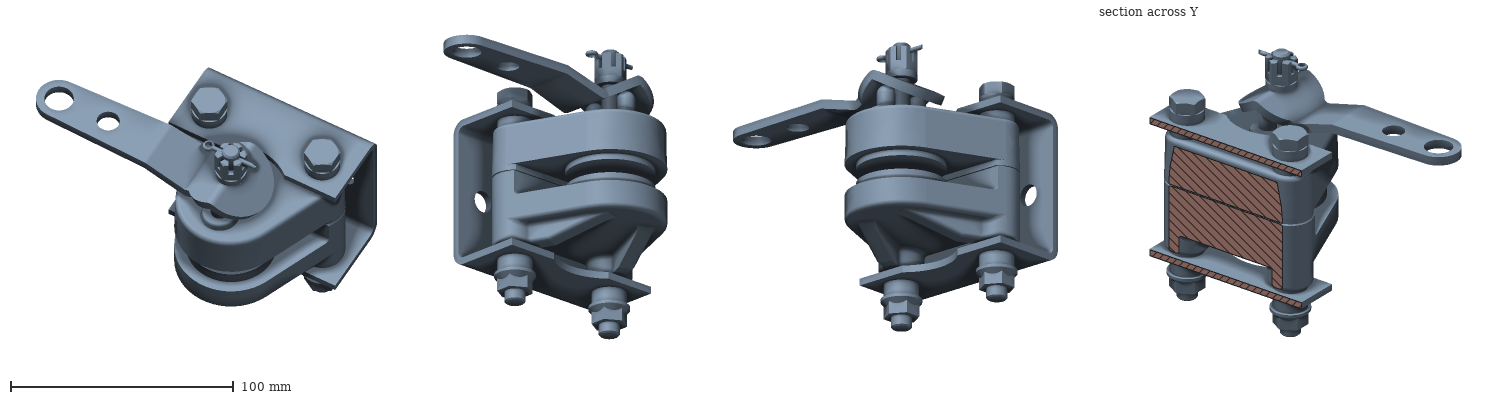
import cadquery as cq
import math


bolt_x = 29.1
bolt_y = 31.5
bolt_sides = (-1, 1)
shank_dia = 9.5
sleeve_dia = 15.9
hex_flats = 14.2
hex_chamfer = 0.5
head_bottom = 74.9
head_top = 80.7
flange_dia = 18.8
flange_top = -6.8
flange_bottom = -8.2
flange_cone_bottom = -10.8
nut_bottom = -15.5
bolt_tip = -20.6
tip_chamfer = 0.7

bracket_width = 86.0
bracket_height = 70.0
bracket_back = 57.0
bracket_front = 18.9
bracket_thickness = 3.3
bracket_bend = 6.3
bracket_relief_radius = 25.3
mount_hole_dia = 10.1
mount_hole_x = 28.0

nose_radius = 25.6
lobe_radius = 10.4
lobe_back = bolt_y + lobe_radius
boss_bottom = 5.1
jaw_bottom = 14.5
jaw_top = 27.5
throat_y = 23.7
throat_fillet = 2.0
wall_top = 39.7
wall_chamfer = 0.9
cover_bottom = 42.4
cover_top = 62.7
cover_draft = 1.5
edge_fillet = 2.1
pad_dia = 40.8
lower_pad_top = 33.3
rib_width = 7.8
rib_fillet = 1.8
root_fillet = 2.1
rib_foot_y = 13.6
rib_end_y = -12.8
rib_root_x = 30.7
rib_end_x = 11.5

pin_dia = 8.4
pin_y = 10.2
pin_height = 73.2
guide_dia = 17.3
guide_draft = 15
guide_top = 65.7
guide_fillet = 1.3
stud_dia = 8.0
stud_top = 99.5
stud_chamfer = 0.9
castle_washer_dia = 14.2
castle_washer_bottom = 82.3
castle_bottom = 85.5
castle_top = 97.0
castle_flats = 12.8
castle_slot_width = 2.3
castle_slot_bottom = 90.0
cotter_dia = 2.1
cotter_z = 95.4
cotter_eye_x = -11.5
cotter_eye_radius = 1.7
cotter_short_tip = 11.4
cotter_long_tip = 13.0

lever_thickness = 4.3
lever_handle_z = 75.0
lever_end_x = bracket_width / 2 - 142.1
lever_end_radius = 10.4
lever_bend_x = -38.1
lever_valley_x = -15.9
lever_valley_width = 25.3
ridge_angle = 30
ridge_radius = 19.3
ridge_z = pin_height + pin_dia / 2 / math.cos(math.radians(ridge_angle))
lever_end_hole = 13.2
lever_mid_hole = 10.4
lever_mid_hole_x = -63.4
lever_stud_hole = 8.4


def cylinder(diameter, z_low, z_high, x=0, y=0):
    return cq.Workplane("XY", origin=(x, y, z_low)).circle(diameter / 2).extrude(z_high - z_low)


def hexagon(flats, z_low, z_high):
    """Hexagonal prism with flats facing +X and -X and its upper corners rounded off by a cone."""
    corners = flats / math.cos(math.radians(30))
    prism = cq.Workplane("XY", origin=(0, 0, z_low)).polygon(6, corners).extrude(z_high - z_low)
    prism = prism.rotate((0, 0, 0), (0, 0, 1), 30)
    inset = (corners - flats) / 2
    return prism.intersect(cylinder(corners, z_low, z_high).faces(">Z").chamfer(hex_chamfer, inset))


def make_bracket():
    inner_bend = bracket_bend - bracket_thickness
    depth = bracket_back - bracket_front
    body = (
        cq.Workplane("XY")
        .box(bracket_width, depth, bracket_height, centered=(True, False, False))
        .edges("|X and >Y")
        .fillet(bracket_bend)
    )
    channel = (
        cq.Workplane("XY", origin=(0, 0, bracket_thickness))
        .box(
            bracket_width,
            depth - bracket_thickness,
            bracket_height - 2 * bracket_thickness,
            centered=(True, False, False),
        )
        .edges("|X and >Y")
        .fillet(inner_bend)
    )
    body = body.cut(channel).translate((0, bracket_front, 0))
    body = body.cut(cylinder(2 * bracket_relief_radius, 0, bracket_height))
    for side in bolt_sides:
        body = body.cut(cylinder(sleeve_dia, 0, bracket_height, side * bolt_x, bolt_y))
    mount_holes = (
        cq.Workplane("XZ", origin=(0, bracket_back, bracket_height / 2))
        .pushPoints([(side * mount_hole_x, 0) for side in bolt_sides])
        .circle(mount_hole_dia / 2)
        .extrude(bracket_thickness)
    )
    return body.cut(mount_holes)


def make_bolt(side):
    head = hexagon(hex_flats, head_bottom, head_top)
    nut = hexagon(hex_flats, nut_bottom, flange_top)
    flange_cone = (
        cq.Workplane("XZ")
        .moveTo(0, flange_top)
        .lineTo(flange_dia / 2, flange_top)
        .lineTo(flange_dia / 2, flange_bottom)
        .lineTo(hex_flats / 2, flange_cone_bottom)
        .lineTo(0, flange_cone_bottom)
        .close()
        .revolve(360, (0, 0, 0), (0, 1, 0))
    )
    shank = cylinder(shank_dia, bolt_tip, head_top).faces("<Z").chamfer(tip_chamfer)
    bolt = (
        shank.union(head)
        .union(cylinder(sleeve_dia, cover_top, head_bottom))
        .union(cylinder(sleeve_dia, flange_top, boss_bottom))
        .union(nut)
        .union(flange_cone)
    )
    return bolt.translate((side * bolt_x, bolt_y, 0))


def caliper_outline(z):
    """Round nose joined by tangent lines to two lobes around the bolts."""
    reach = math.hypot(bolt_x, bolt_y)
    tangent = math.atan2(bolt_y, bolt_x) - math.acos((nose_radius - lobe_radius) / reach)
    nx = math.cos(tangent)
    ny = math.sin(tangent)
    lobe_mid = (tangent + math.pi / 2) / 2
    lobe_mid_x = bolt_x + lobe_radius * math.cos(lobe_mid)
    lobe_mid_y = bolt_y + lobe_radius * math.sin(lobe_mid)
    lobe_x = bolt_x + lobe_radius * nx
    lobe_y = bolt_y + lobe_radius * ny
    return (
        cq.Workplane("XY", origin=(0, 0, z))
        .moveTo(-nose_radius * nx, nose_radius * ny)
        .threePointArc((0, -nose_radius), (nose_radius * nx, nose_radius * ny))
        .lineTo(lobe_x, lobe_y)
        .threePointArc((lobe_mid_x, lobe_mid_y), (bolt_x, lobe_back))
        .lineTo(-bolt_x, lobe_back)
        .threePointArc((-lobe_mid_x, lobe_mid_y), (-lobe_x, lobe_y))
        .close()
    )


def throat_space(z_low, z_high):
    """Block of space in front of the wall that joins both jaws."""
    return (
        cq.Workplane("XY", origin=(0, throat_y, z_low))
        .rect(4 * nose_radius, 4 * nose_radius)
        .extrude(z_high - z_low)
        .translate((0, -2 * nose_radius, 0))
    )


def make_cover():
    """Upper half: drafted housing, spacer bar over the wall and upper pad."""
    cover = caliper_outline(cover_bottom).extrude(cover_top - cover_bottom, taper=cover_draft)
    cover = cover.faces(">Z").edges().fillet(edge_fillet)
    bar = (
        cq.Workplane("XY", origin=(0, bolt_y, wall_top))
        .slot2D(2 * (bolt_x + lobe_radius), 2 * lobe_radius)
        .extrude(cover_bottom - wall_top)
    )
    bar = bar.cut(throat_space(wall_top, cover_bottom))
    return cover.union(bar).union(cylinder(pad_dia, wall_top, cover_bottom))


def make_rib(side):
    """Rib under the lower jaw, from a boss towards the nose, sloping up at its end."""
    run = bolt_y - rib_end_y
    angle = math.degrees(math.atan2(rib_root_x - rib_end_x, run))
    foot = (bolt_y - rib_foot_y) / math.cos(math.radians(angle))
    length = run / math.cos(math.radians(angle))
    rib = (
        cq.Workplane("YZ", origin=(-rib_width / 2, 0, 0))
        .moveTo(0, jaw_bottom + edge_fillet)
        .lineTo(0, boss_bottom)
        .lineTo(-foot, boss_bottom)
        .lineTo(-length, jaw_bottom)
        .lineTo(-length, jaw_bottom + edge_fillet)
        .close()
        .extrude(rib_width)
    )
    rib = rib.faces("<X").edges("(not |Z) and (not >Z)").fillet(rib_fillet)
    rib = rib.rotate((0, 0, 0), (0, 0, 1), angle)
    rib = rib.translate((-rib_root_x, bolt_y, 0))
    if side > 0:
        rib = rib.mirror("YZ")
    return rib


def touches(body, edge):
    """True if the middle of the edge lies on the body."""
    middle = cq.Vertex.makeVertex(*edge.positionAt(0.5).toTuple())
    tolerance = 0.001
    return body.val().distance(middle) < tolerance


def round_foot(jaw, foot):
    """Round the inside corners between a boss, its rib and the underside of the jaw."""
    reach = bolt_x + nose_radius
    below_jaw = cq.selectors.BoxSelector((-reach, 0, boss_bottom), (reach, throat_y, jaw_bottom))
    near_underside = cq.selectors.BoxSelector(
        (-reach, -reach, jaw_bottom - edge_fillet / 2), (reach, reach, jaw_bottom + edge_fillet / 2)
    )
    corners = [edge for edge in jaw.edges("|Z").edges(below_jaw).vals() if touches(foot, edge)]
    roots = [
        edge
        for edge in jaw.faces("|Z").faces(near_underside).edges().vals()
        if touches(foot, edge) and edge.Center().y > 0
    ]
    return jaw.newObject(corners + roots).fillet(root_fillet)


def make_lower_jaw():
    """Lower half: jaw, wall, bolt bosses, ribs and lower pad."""
    jaw = caliper_outline(jaw_bottom).extrude(wall_top - jaw_bottom)
    jaw = jaw.faces("<Z").edges().fillet(edge_fillet)
    throat = throat_space(jaw_top, wall_top).edges("|X and >Y and <Z").fillet(throat_fillet)
    jaw = jaw.cut(throat)
    jaw = jaw.faces(">Z").edges().chamfer(wall_chamfer)
    for side in bolt_sides:
        boss = cylinder(2 * lobe_radius, boss_bottom, jaw_top, side * bolt_x, bolt_y)
        boss = boss.faces("<Z").edges().fillet(edge_fillet)
        foot = boss.union(make_rib(side))
        jaw = round_foot(jaw.union(foot), foot)
    return jaw.union(cylinder(pad_dia, jaw_top, lower_pad_top))


def make_push_pins():
    """Two domed pins rising from a rounded guide plate."""
    guide = (
        cq.Workplane("XY", origin=(0, 0, cover_top))
        .slot2D(2 * pin_y + guide_dia, guide_dia, 90)
        .extrude(guide_top - cover_top, taper=guide_draft)
        .faces(">Z")
        .edges()
        .fillet(guide_fillet)
    )
    for y in (-pin_y, pin_y):
        dome = cq.Workplane("XY", origin=(0, y, pin_height)).sphere(pin_dia / 2)
        guide = guide.union(cylinder(pin_dia, cover_top, pin_height, 0, y)).union(dome)
    return guide


def make_castle_nut():
    crown = hexagon(castle_flats, castle_bottom, castle_top)
    for angle in (0, 60, 120):
        slot = (
            cq.Workplane("XY", origin=(0, 0, castle_slot_bottom))
            .rect(2 * castle_flats, castle_slot_width)
            .extrude(castle_top - castle_slot_bottom)
            .rotate((0, 0, 0), (0, 0, 1), angle)
        )
        crown = crown.cut(slot)
    return crown.union(cylinder(castle_washer_dia, castle_washer_bottom, castle_bottom))


def make_cotter():
    """Split pin with a round eye and a round shank whose tip is half round."""
    eye_center = cq.Vector(cotter_eye_x, 0, cotter_z)
    ring = cq.Solid.makeTorus(cotter_eye_radius, cotter_dia / 2, eye_center, cq.Vector(0, 0, 1))
    hole = cylinder(2 * cotter_eye_radius, cotter_z - cotter_dia, cotter_z + cotter_dia, cotter_eye_x)
    eye = cq.Workplane("XY").add(ring).cut(hole)
    start = cotter_eye_x + cotter_eye_radius + cotter_dia / 4
    shank = (
        cq.Workplane("YZ", origin=(start, 0, cotter_z))
        .circle(cotter_dia / 2)
        .extrude(cotter_long_tip - start)
    )
    short_prong_gap = cq.Workplane("XY", origin=(cotter_short_tip, 0, cotter_z - cotter_dia)).box(
        cotter_long_tip - cotter_short_tip, cotter_dia, 2 * cotter_dia, centered=False
    )
    return eye.union(shank.cut(short_prong_gap))


def make_caliper():
    stud = cylinder(stud_dia, cover_top, stud_top).faces(">Z").chamfer(stud_chamfer)
    caliper = (
        make_lower_jaw()
        .union(make_cover())
        .union(make_push_pins())
        .union(stud)
        .union(make_castle_nut())
        .union(make_cotter())
    )
    for side in bolt_sides:
        caliper = caliper.cut(cylinder(shank_dia, boss_bottom, cover_top, side * bolt_x, bolt_y))
    return caliper


def make_lever_arm():
    """Bent strip: flat handle, dip to the valley and rise to the ridge, tapered in plan."""
    ridge_slope = math.radians(ridge_angle)
    valley_z = ridge_z + lever_valley_x * math.tan(ridge_slope)
    dip_slope = math.atan2(lever_handle_z - valley_z, lever_valley_x - lever_bend_x)
    bend_shift = lever_thickness * math.tan(dip_slope / 2)
    valley_miter = lever_thickness / math.cos((ridge_slope + dip_slope) / 2)
    valley_tilt = (ridge_slope - dip_slope) / 2
    strip = (
        cq.Workplane("XZ", origin=(0, lever_valley_width / 2, 0))
        .moveTo(lever_end_x, lever_handle_z)
        .lineTo(lever_bend_x, lever_handle_z)
        .lineTo(lever_valley_x, valley_z)
        .lineTo(0, ridge_z)
        .lineTo(-lever_thickness * math.sin(ridge_slope), ridge_z + lever_thickness * math.cos(ridge_slope))
        .lineTo(
            lever_valley_x - valley_miter * math.sin(valley_tilt),
            valley_z + valley_miter * math.cos(valley_tilt),
        )
        .lineTo(lever_bend_x + bend_shift, lever_handle_z + lever_thickness)
        .lineTo(lever_end_x, lever_handle_z + lever_thickness)
        .close()
        .extrude(lever_valley_width)
    )
    for x, z in (
        (lever_bend_x + bend_shift, lever_handle_z + lever_thickness),
        (lever_valley_x, valley_z),
    ):
        strip = strip.edges(cq.NearestToPointSelector((x, 0, z))).fillet(lever_thickness)
    end_x = lever_end_x + lever_end_radius
    plan = (
        cq.Workplane("XY")
        .moveTo(end_x, lever_end_radius)
        .threePointArc((lever_end_x, 0), (end_x, -lever_end_radius))
        .lineTo(lever_valley_x, -lever_valley_width / 2)
        .lineTo(0, -lever_valley_width / 2)
        .lineTo(0, lever_valley_width / 2)
        .lineTo(lever_valley_x, lever_valley_width / 2)
        .close()
        .extrude(stud_top)
        .cut(cylinder(lever_end_hole, 0, stud_top, end_x))
        .cut(cylinder(lever_mid_hole, 0, stud_top, lever_mid_hole_x))
    )
    return strip.intersect(plan)


def make_ridge_leg(side, length):
    """Half disc sloping down from the ridge, cut off at the given length."""
    disc = cylinder(2 * ridge_radius, 0, lever_thickness)
    half = disc.intersect(
        cq.Workplane("XY").box(length, 2 * ridge_radius, lever_thickness, centered=(False, True, False))
    )
    leg = half.rotate((0, 0, 0), (0, 1, 0), ridge_angle)
    if side < 0:
        leg = leg.mirror("YZ")
    return leg.translate((0, 0, ridge_z))


def make_lever():
    ridge = (
        cq.Workplane("XZ", origin=(0, ridge_radius, 0))
        .moveTo(0, ridge_z)
        .polarLine(lever_thickness, 90 + ridge_angle)
        .threePointArc(
            (0, ridge_z + lever_thickness),
            (
                lever_thickness * math.sin(math.radians(ridge_angle)),
                ridge_z + lever_thickness * math.cos(math.radians(ridge_angle)),
            ),
        )
        .close()
        .extrude(2 * ridge_radius)
    )
    arm_leg_length = ridge_radius - lever_thickness
    lever = (
        make_lever_arm()
        .union(ridge)
        .union(make_ridge_leg(-1, arm_leg_length))
        .union(make_ridge_leg(1, ridge_radius))
    )
    return lever.cut(cylinder(lever_stud_hole, 0, stud_top))


bracket = make_bracket()
bolts = [make_bolt(side) for side in bolt_sides]
caliper = make_caliper()
lever = make_lever()
result = cq.Compound.makeCompound(
    [bracket.val(), *[bolt.val() for bolt in bolts], caliper.val(), lever.val()]
)